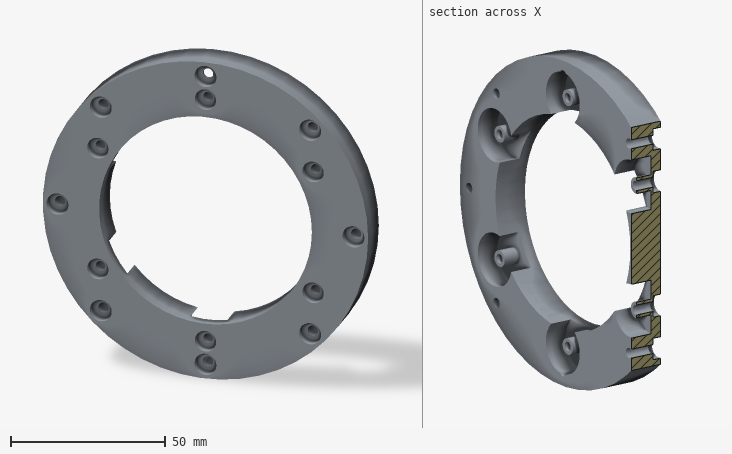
import cadquery as cq
import math

outer_radius = 55.0
bore_radius = 36.0
ring_depth = 12.0

first_bolt_angle = 90.0
counterbore_depth = 3.0

outer_bolt_radius = 50.0
outer_bolt_count = 8
outer_hole_diameter = 3.4
outer_counterbore_diameter = 7.4

inner_bolt_radius = 42.0
inner_bolt_count = 6
inner_hole_diameter = 3.2
inner_counterbore_diameter = 7.2

front_wall = 4.0
pocket_radius = 9.0
boss_diameter = 5.5
boss_height = 6.0


def bolt_circle(radius, count):
    """Return the evenly spaced (x, z) hole centres on one bolt circle."""
    angles = [math.radians(first_bolt_angle + i * 360.0 / count) for i in range(count)]
    return [(radius * math.cos(a), radius * math.sin(a)) for a in angles]


def cylinders(centres, radius, start, length):
    """Return cylinders along +Y at the (x, z) centres, beginning at y = start."""
    plane = cq.Workplane("XZ", origin=(0, start, 0))
    return plane.pushPoints(centres).circle(radius).extrude(-length)


def cut_counterbored_holes(body, centres, hole_diameter, counterbore_diameter):
    """Cut through holes with a counterbore sunk from the front face."""
    holes = cylinders(centres, hole_diameter / 2, 0, ring_depth)
    counterbores = cylinders(centres, counterbore_diameter / 2, 0, counterbore_depth)
    return body.cut(holes).cut(counterbores)


outer_bolts = bolt_circle(outer_bolt_radius, outer_bolt_count)
inner_bolts = bolt_circle(inner_bolt_radius, inner_bolt_count)

ring = cq.Workplane("XZ").circle(outer_radius).circle(bore_radius).extrude(-ring_depth)

pockets = cylinders(inner_bolts, pocket_radius, front_wall, ring_depth - front_wall)
bosses = cylinders(inner_bolts, boss_diameter / 2, front_wall, boss_height)
ring = ring.cut(pockets).union(bosses)

ring = cut_counterbored_holes(ring, outer_bolts, outer_hole_diameter, outer_counterbore_diameter)
ring = cut_counterbored_holes(ring, inner_bolts, inner_hole_diameter, inner_counterbore_diameter)

result = ring